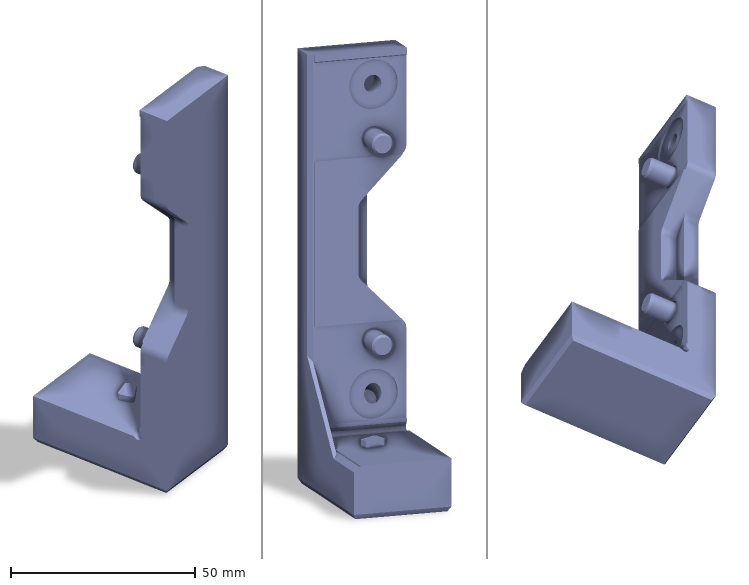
import cadquery as cq
import math

length = 45.0
width = 28.2
height = 121.6

base_height = 15.0
plate_thickness = 9.2
pad_step = 0.4
face_x = length - plate_thickness
body_x = face_x + pad_step
body_z = base_height - pad_step
bottom_chamfer_height = 1.5
bottom_chamfer_run = 0.9

plate_chamfer = 1.2
base_chamfer_run = 1.6
base_chamfer_drop = 1.2
plate_pad_inset = 1.7
base_pad_inset = 2.0

relief_radius = 1.5
relief_depth = 0.7
relief_ramp_angle = 30.0

center_z = 68.7

lower_pad_top = 18.0
middle_pad_half = 23.1
upper_pad_bottom = 119.4
upper_pad_bevel = 0.3

notch_mouth = 48.6
notch_depth_front = 14.0
notch_depth_back = 9.7
notch_step_x = 40.5
notch_fillet = 3.0

gusset_thickness = 1.2
gusset_toe_x = 16.2
gusset_top_z = 37.3
inner_width = width - gusset_thickness

line_y = 9.5
hole_offset = 43.3
hole_diameter = 5.0
upper_hole_depth = 6.1
lower_hole_depth = 4.7
lower_hole_tilt = 30.0
spot_diameter = 14.0
spot_depth = 0.6
spot_x = body_x + spot_depth

pin_offset = 28.2
pin_diameter = 6.0
pin_protrusion = 7.7
pin_embedding = 6.1
pin_tip_length = 0.7
pin_tip_diameter = 5.0
recess_diameter = 6.9
recess_depth = 0.5

key_height = 2.0
key_fillet = 0.7
key_corners = [(18.1, 17.9), (21.2, 18.7), (24.5, 13.3), (19.6, 11.9)]


def make_bottom_taper():
    """Full-height envelope whose sides lean inward along the steep bottom chamfer."""
    taper = math.degrees(math.atan2(bottom_chamfer_run, bottom_chamfer_height))
    return (
        cq.Workplane("XY", origin=(length / 2, width / 2, bottom_chamfer_height))
        .rect(length, width)
        .extrude(-bottom_chamfer_height, taper=taper)
        .faces(">Z")
        .workplane()
        .rect(length, width)
        .extrude(height - bottom_chamfer_height)
    )


def make_side_chamfers():
    """Cutters for the chamfers on the inner +Y edges of the plate and the base."""
    plate_cutter = (
        cq.Workplane("XY", origin=(0, 0, body_z - base_chamfer_drop))
        .moveTo(body_x, width - plate_chamfer)
        .lineTo(body_x + plate_chamfer, width)
        .lineTo(body_x, width)
        .close()
        .extrude(height)
    )
    base_cutter = (
        cq.Workplane("YZ")
        .moveTo(width - base_chamfer_run, body_z)
        .lineTo(width, body_z - base_chamfer_drop)
        .lineTo(width, body_z)
        .close()
        .extrude(body_x)
    )
    return plate_cutter.union(base_cutter)


def make_plate_pad(bottom_z, top_z):
    """Thin raised pad across the plate front."""
    return cq.Workplane("XY", origin=(face_x, 0, bottom_z)).box(
        pad_step, width - plate_pad_inset, top_z - bottom_z, centered=False
    )


def make_pads():
    """Raised pads: one on the base and three on the plate front."""
    base_pad = cq.Workplane("XY", origin=(0, 0, body_z)).box(
        body_x, width - base_pad_inset, pad_step, centered=False
    )
    lower_pad = make_plate_pad(body_z, lower_pad_top)
    middle_pad = make_plate_pad(center_z - middle_pad_half, center_z + middle_pad_half)
    upper_pad = make_plate_pad(upper_pad_bottom, height)
    upper_pad = upper_pad.faces("<Z").edges("<X").chamfer(upper_pad_bevel)
    return base_pad.union(lower_pad).union(middle_pad).union(upper_pad)


def make_l_block():
    """L-shaped block with chamfers around its bottom and on its inner +Y edges."""
    block = (
        cq.Workplane("XZ")
        .moveTo(0, 0)
        .lineTo(length, 0)
        .lineTo(length, height)
        .lineTo(body_x, height)
        .lineTo(body_x, body_z)
        .lineTo(0, body_z)
        .close()
        .extrude(-width)
    )
    return block.intersect(make_bottom_taper()).cut(make_side_chamfers())


def make_gusset():
    """Thin triangular web across the inner corner, flush with the +Y side."""
    root_x = body_x + plate_chamfer
    root_z = body_z - base_chamfer_drop
    return (
        cq.Workplane("XZ", origin=(0, inner_width, 0))
        .moveTo(gusset_toe_x, root_z)
        .lineTo(root_x, root_z)
        .lineTo(root_x, gusset_top_z)
        .close()
        .extrude(-gusset_thickness)
    )


def make_relief():
    """Groove undercutting the base and the plate equally, ending at the gusset."""
    ramp = relief_depth / math.tan(math.radians(relief_ramp_angle))
    rise = relief_radius - relief_depth
    mid_reach = relief_radius * math.sqrt(0.5) - rise
    return (
        cq.Workplane("XZ", origin=(face_x, 0, base_height))
        .moveTo(-rise - ramp, 0)
        .lineTo(-rise, -relief_depth)
        .threePointArc((mid_reach, -mid_reach), (relief_depth, rise))
        .lineTo(0, rise + ramp)
        .lineTo(-rise - ramp, rise + ramp)
        .close()
        .extrude(-inner_width)
    )


def make_notch(start_x, end_x, depth):
    """Notch cutter with 45 degree flanks and rounded corners, open toward -Y."""
    mouth = notch_mouth / 2
    floor = mouth - depth
    flange = mouth + 2 * notch_fillet
    cutter = (
        cq.Workplane("YZ", origin=(start_x, 0, center_z))
        .moveTo(-notch_fillet, -flange)
        .lineTo(0, -flange)
        .lineTo(0, -mouth)
        .lineTo(depth, -floor)
        .lineTo(depth, floor)
        .lineTo(0, mouth)
        .lineTo(0, flange)
        .lineTo(-notch_fillet, flange)
        .close()
        .extrude(end_x - start_x)
    )
    corners = cq.selectors.BoxSelector(
        (start_x, -notch_fillet / 2, center_z - mouth - notch_fillet),
        (end_x, depth + notch_fillet, center_z + mouth + notch_fillet),
    )
    return cutter.edges("|X").edges(corners).fillet(notch_fillet)


def make_cylinder(z, diameter, depth):
    """Round cutter running from the plate front into the plate."""
    return cq.Workplane("YZ", origin=(body_x, line_y, z)).circle(diameter / 2).extrude(depth)


def make_hole(z, depth, tilt):
    """Blind hole from a spot face into the plate, tilted downward by tilt degrees."""
    slope = math.radians(tilt)
    axis = cq.Vector(math.cos(slope), 0, -math.sin(slope))
    start = cq.Vector(spot_x, line_y, z) - axis * hole_diameter
    return cq.Workplane(cq.Solid.makeCylinder(hole_diameter / 2, depth + hole_diameter, start, axis))


def make_pin_bore(z):
    """Blind bore for a pin with a shallow wider recess at its mouth."""
    bore = make_cylinder(z, pin_diameter, pin_embedding)
    return bore.union(make_cylinder(z, recess_diameter, recess_depth))


def make_key():
    """Four-sided key with rounded corners standing on the base."""
    return (
        cq.Workplane("XY", origin=(0, 0, base_height))
        .polyline(key_corners)
        .close()
        .extrude(key_height)
        .edges("|Z")
        .fillet(key_fillet)
    )


def make_bracket():
    """Bracket with its pads, gusset, key, notch, holes and pin bores."""
    body = make_l_block().union(make_pads()).union(make_gusset()).cut(make_relief())
    body = body.cut(make_notch(face_x, notch_step_x, notch_depth_front))
    body = body.cut(make_notch(notch_step_x, length, notch_depth_back))
    for side in (-1, 1):
        body = body.cut(make_cylinder(center_z + side * hole_offset, spot_diameter, spot_depth))
        body = body.cut(make_pin_bore(center_z + side * pin_offset))
    body = body.cut(make_hole(center_z + hole_offset, upper_hole_depth, 0))
    body = body.cut(make_hole(center_z - hole_offset, lower_hole_depth, lower_hole_tilt))
    return body.union(make_key())


def make_pin(z):
    """Dowel pin with a conical tip pointing toward -X."""
    radius = pin_diameter / 2
    return (
        cq.Workplane("XY", origin=(body_x, line_y, z))
        .moveTo(-pin_protrusion, 0)
        .lineTo(-pin_protrusion, pin_tip_diameter / 2)
        .lineTo(pin_tip_length - pin_protrusion, radius)
        .lineTo(pin_embedding, radius)
        .lineTo(pin_embedding, 0)
        .close()
        .revolve(360, (0, 0, 0), (1, 0, 0))
    )


bracket = make_bracket()
pins = [make_pin(center_z + side * pin_offset) for side in (-1, 1)]

result = cq.Compound.makeCompound([bracket.val(), *[pin.val() for pin in pins]])